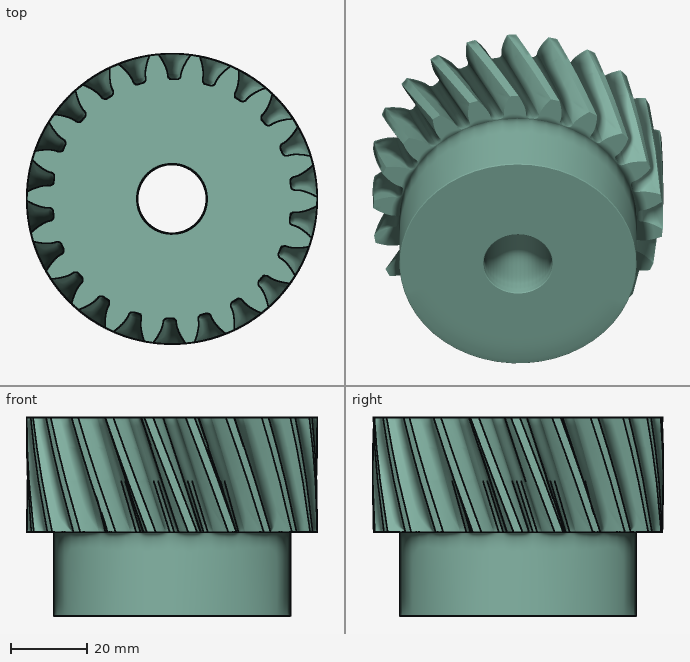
import cadquery as cq
import math

tooth_count = 22
normal_module = 3.0
normal_pressure_angle = math.radians(20.0)
transverse_pitch = 10.0
dedendum_factor = 1.25
root_fillet_factor = 0.38
flank_points = 6

gear_width = 30.0
overall_height = 52.0
hub_diameter = 62.0
bore_diameter = 18.0
bore_chamfer = 0.2
hub_chamfer = 0.2

hub_height = overall_height - gear_width
pitch_radius = tooth_count * transverse_pitch / (2 * math.pi)
helix_angle = math.acos(normal_module * math.pi / transverse_pitch)
tip_radius = pitch_radius + normal_module
root_radius = pitch_radius - dedendum_factor * normal_module
root_fillet_radius = root_fillet_factor * normal_module
pressure_angle = math.atan(math.tan(normal_pressure_angle) / math.cos(helix_angle))
base_radius = pitch_radius * math.cos(pressure_angle)
twist = math.degrees(gear_width * math.tan(helix_angle) / pitch_radius)
pitch_angle = 2 * math.pi / tooth_count


def polar(radius, angle):
    """Cartesian point at a radius and an angle from +X."""
    return (radius * math.cos(angle), radius * math.sin(angle))


def involute_angle(radius):
    """Polar angle swept by the involute between the base circle and a radius."""
    roll = math.acos(base_radius / radius)
    return math.tan(roll) - roll


def half_tooth_angle(radius):
    """Half the angle a tooth spans at a radius on its involute flanks."""
    return pitch_angle / 4 + involute_angle(pitch_radius) - involute_angle(radius)


def tooth_profile():
    """Closed transverse outline of the toothed section, tooth 0 centred on +X."""
    step = (tip_radius - base_radius) / (flank_points - 1)
    flank_radii = [base_radius + i * step for i in range(flank_points)]
    base_half = half_tooth_angle(base_radius)

    centre_radius = root_radius + root_fillet_radius
    fillet_turn = math.asin(root_fillet_radius / centre_radius)
    foot_radius = centre_radius * math.cos(fillet_turn)
    fillet_half = base_half + fillet_turn
    fillet_half_sweep = (math.pi / 2 - fillet_turn) / 2

    def fillet_middle(tooth_angle, side):
        centre_angle = tooth_angle + side * fillet_half
        centre_x, centre_y = polar(centre_radius, centre_angle)
        middle_direction = centre_angle + math.pi + side * fillet_half_sweep
        offset_x, offset_y = polar(root_fillet_radius, middle_direction)
        return (centre_x + offset_x, centre_y + offset_y)

    outline = cq.Workplane("XY").workplane(offset=hub_height)
    outline = outline.moveTo(*polar(root_radius, -fillet_half))
    for tooth in range(tooth_count):
        angle = tooth * pitch_angle
        rising = [polar(r, angle - half_tooth_angle(r)) for r in flank_radii]
        falling = [polar(r, angle + half_tooth_angle(r)) for r in reversed(flank_radii)]
        next_angle = angle + pitch_angle
        outline = (
            outline.threePointArc(fillet_middle(angle, -1), polar(foot_radius, angle - base_half))
            .lineTo(*rising[0])
            .spline(rising[1:], includeCurrent=True)
            .threePointArc(polar(tip_radius, angle), falling[0])
            .spline(falling[1:], includeCurrent=True)
            .lineTo(*polar(foot_radius, angle + base_half))
            .threePointArc(fillet_middle(angle, 1), polar(root_radius, angle + fillet_half))
            .threePointArc(
                polar(root_radius, angle + pitch_angle / 2),
                polar(root_radius, next_angle - fillet_half),
            )
        )
    return outline.close()


def helical_teeth():
    """Toothed section; the teeth turn clockwise (seen from +Z) as they rise."""
    return tooth_profile().twistExtrude(gear_width, -twist)


def hub():
    """Plain cylinder below the teeth, with its lower outer edge broken."""
    return cq.Workplane("XY").circle(hub_diameter / 2).extrude(hub_height).faces("<Z").chamfer(hub_chamfer)


def bore():
    """Through bore, with a chamfer at both ends."""
    radius = bore_diameter / 2
    half_profile = [
        (0, 0),
        (radius + bore_chamfer, 0),
        (radius, bore_chamfer),
        (radius, overall_height - bore_chamfer),
        (radius + bore_chamfer, overall_height),
        (0, overall_height),
    ]
    return cq.Workplane("XZ").polyline(half_profile).close().revolve(360, (0, 0), (0, 1))


result = helical_teeth().union(hub()).cut(bore())